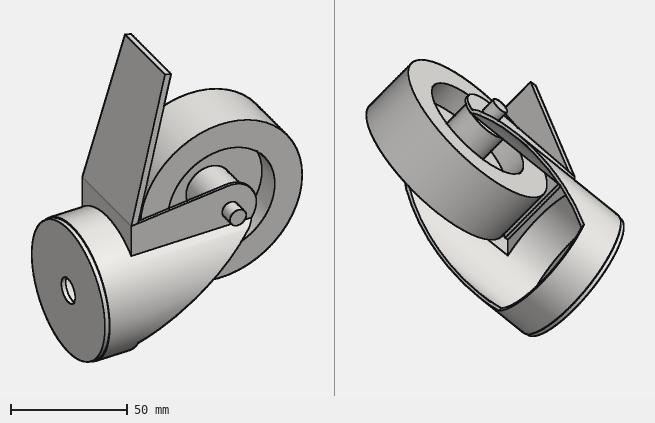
import cadquery as cq
import math

cup_radius = 32.53
wall = 1.5
cap_thickness = 2.1
cap_radius = 32.0
cap_hole_radius = 6.0
cup_depth = 19.0

fork_width = 42.9
fork_front_top = 40.0
fork_front_bottom = -17.3
fork_end_radius = 12.9

guard_length = 73.0
guard_thickness = 3.1
guard_tip_width = 35.0
guard_lean = 15.0

axle_y = 68.0
axle_z = 32.0
axle_radius = 4.0
axle_length = 56.5
wheel_radius = 40.0
wheel_width = 27.2
recess_radius = 26.5
recess_depth = 11.3
hub_radius = 11.0
hub_length = 39.2

cup_inner_radius = cup_radius - wall
fork_rear = axle_y + fork_end_radius


def y_cylinder(radius, start, end):
    """Cylinder on the Y axis between two Y positions."""
    return cq.Workplane("XZ", origin=(0, start, 0)).circle(radius).extrude(start - end)


def axle_cylinder(radius, length):
    """Cylinder on the axle line, centred on x = 0."""
    plane = cq.Workplane("YZ", origin=(-length / 2, axle_y, axle_z))
    return plane.circle(radius).extrude(length)


def upright_box(width, start, end):
    """Box rising from z = 0 to the fork's top, between two Y positions."""
    box = cq.Workplane("XY").box(width, end - start, axle_z + fork_end_radius, centered=(True, False, False))
    return box.translate((0, start, 0))


def tangent_point(corner_z, side):
    """Point on the fork's round end where the line from a front corner touches it.

    side is 1 for the upper edge and -1 for the lower edge.
    """
    dy = cup_depth - axle_y
    dz = corner_z - axle_z
    angle = math.atan2(dz, dy) - side * math.acos(fork_end_radius / math.hypot(dy, dz))
    return axle_y + fork_end_radius * math.cos(angle), axle_z + fork_end_radius * math.sin(angle)


def fork_side_profile():
    """Side outline of the arms, extruded across the whole width."""
    return (
        cq.Workplane("YZ")
        .moveTo(cup_depth, fork_front_bottom)
        .lineTo(cup_depth, fork_front_top)
        .lineTo(*tangent_point(fork_front_top, 1))
        .threePointArc((fork_rear, axle_z), tangent_point(fork_front_bottom, -1))
        .close()
        .extrude(cup_radius, both=True)
    )


def make_guard():
    """Tapered flat plate, its lower front edge on the fork's top front edge."""
    guard = (
        cq.Workplane("XZ")
        .polyline([
            (-fork_width / 2, 0),
            (fork_width / 2, 0),
            (guard_tip_width / 2, guard_length),
            (-guard_tip_width / 2, guard_length),
        ])
        .close()
        .extrude(-guard_thickness)
    )
    guard = guard.rotate((0, 0, 0), (1, 0, 0), -guard_lean)
    return guard.translate((0, cup_depth, fork_front_top))


def make_fork():
    """Cup, two arms and guard plate as one thin-walled body."""
    arms = y_cylinder(cup_radius, cup_depth, fork_rear)
    arms = arms.union(upright_box(fork_width, cup_depth, fork_rear))
    arms = arms.intersect(fork_side_profile())
    cup = y_cylinder(cap_radius, 0, cap_thickness)
    cup = cup.union(y_cylinder(cup_radius, cap_thickness, cup_depth))
    body = cup.union(arms)

    body = body.cut(y_cylinder(cup_inner_radius, cap_thickness, fork_rear))
    body = body.cut(upright_box(fork_width - 2 * wall, cup_depth + wall, fork_rear))

    body = body.cut(y_cylinder(cap_hole_radius, 0, cap_thickness))
    body = body.cut(axle_cylinder(axle_radius, fork_width))
    return body.union(make_guard())


def make_wheel():
    """Wheel recessed on both faces, with a longer hub and the axle stubs."""
    tyre = axle_cylinder(wheel_radius, wheel_width)
    tyre = tyre.cut(axle_cylinder(recess_radius, wheel_width))
    web = axle_cylinder(recess_radius, wheel_width - 2 * recess_depth)
    hub = axle_cylinder(hub_radius, hub_length)
    axle = axle_cylinder(axle_radius, axle_length)
    return tyre.union(web).union(hub).union(axle)


fork = make_fork()
wheel = make_wheel()
result = cq.Compound.makeCompound([fork.val(), wheel.val()])